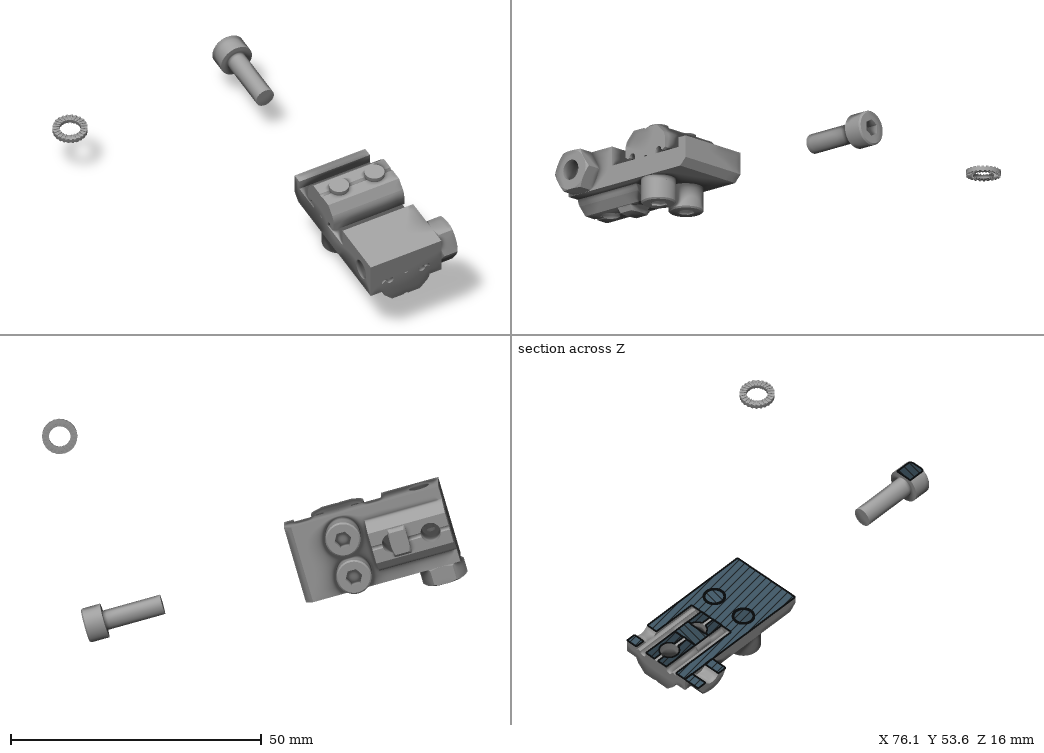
import cadquery as cq
import math


base_length = 32.0
depth = 16.0
plate_height = 4.0
lip_width = 2.0
lip_height = 6.0
corner_chamfer = 1.5
block_start = 20.15
block_height = 8.0

front_hole_x = 28.0
front_hole_diameter = 4.13
front_hole_depth = depth / 2
pilot_diameter = 2.5
pilot_depth = 1.0
drill_point_angle = 118.0

clamp_height = 6.0
clamp_half_width = 5.4
clamp_top_half_width = 3.15
bevel = 1.65
side_arc_bottom = 2.6
leg_outer_bottom = 0.85
leg_tip_x = 4.75
leg_tip_bottom = 0.4
foot_half_width = 2.85
groove_radius = 0.75
groove_base = 0.6
score_half_width = 0.45
score_depth = 0.25
upper_clamp_x = 11.05
lower_clamp_drop = 3.05
lower_clamp_x = base_length - depth / 2
screw_row_y = 0.15
screw_offset = 4.0
screw_ys = [screw_row_y - screw_offset, screw_row_y + screw_offset]

head_diameter = 7.0
head_height = 4.0
head_chamfer = 0.3
shank_diameter = 4.0
shank_length = 12.0
neck_fillet = 0.15
socket_across_flats = 3.0
socket_depth = 2.5
loose_screw_x = -43.5
loose_screw_y = 0.15
loose_screw_z = 0.05
clearance_diameter = 4.3
screw_seat_height = 1.0

nut_across_flats = 8.0
nut_thickness = 3.65
nut_bore = front_hole_diameter
nut_face_diameter = nut_across_flats
nut_chamfer_angle = 30.0
lower_nut_x = 19.85

washer_x = -37.75
washer_y = -38.49
washer_thickness = 1.15
washer_outer_diameter = 7.0
washer_groove_count = 24
washer_groove_width = 0.5
washer_groove_start_angle = 3.75
washer_groove_depth = 0.2


def hexagon_corner_diameter(across_flats):
    return across_flats / math.cos(math.radians(30))


def make_clamp():
    """Bar along Y standing on Z = 0, with a foot between two grooved legs."""
    bevel_bottom_x = clamp_top_half_width + bevel
    bevel_bottom_z = clamp_height - bevel
    arc_width = clamp_half_width - bevel_bottom_x
    arc_rise = bevel_bottom_z - side_arc_bottom
    arc_radius = (arc_width**2 + arc_rise**2) / (2 * arc_width)
    groove_mid_x = foot_half_width + groove_radius
    groove_top = groove_base + groove_radius

    clamp = (
        cq.Workplane("XZ")
        .moveTo(-score_half_width, 0)
        .threePointArc((0, score_depth), (score_half_width, 0))
        .lineTo(foot_half_width, 0)
        .lineTo(foot_half_width, groove_base)
        .threePointArc((groove_mid_x, groove_top), (groove_mid_x + groove_radius, groove_base))
        .lineTo(leg_tip_x, leg_tip_bottom)
        .lineTo(clamp_half_width, leg_outer_bottom)
        .lineTo(clamp_half_width, side_arc_bottom)
        .radiusArc((bevel_bottom_x, bevel_bottom_z), -arc_radius)
        .lineTo(clamp_top_half_width, clamp_height)
        .lineTo(score_half_width, clamp_height)
        .threePointArc((0, clamp_height - score_depth), (-score_half_width, clamp_height))
        .lineTo(-clamp_top_half_width, clamp_height)
        .lineTo(-bevel_bottom_x, bevel_bottom_z)
        .radiusArc((-clamp_half_width, side_arc_bottom), -arc_radius)
        .lineTo(-clamp_half_width, leg_outer_bottom)
        .lineTo(-leg_tip_x, leg_tip_bottom)
        .lineTo(-groove_mid_x - groove_radius, groove_base)
        .threePointArc((-groove_mid_x, groove_top), (-foot_half_width, groove_base))
        .lineTo(-foot_half_width, 0)
        .close()
        .extrude(depth / 2, both=True)
    )
    holes = (
        cq.Workplane("XY")
        .pushPoints([(0, y) for y in screw_ys])
        .circle(shank_diameter / 2)
        .extrude(clamp_height)
    )
    return clamp.cut(holes)


def make_cap_screw():
    """Socket head cap screw along +Z with the outer face of its head at Z = 0."""
    screw = (
        cq.Workplane("XY")
        .circle(head_diameter / 2)
        .extrude(head_height)
        .faces("<Z")
        .chamfer(head_chamfer)
    )
    shank = (
        cq.Workplane("XY")
        .workplane(offset=head_height)
        .circle(shank_diameter / 2)
        .extrude(shank_length)
    )
    screw = screw.union(shank)
    screw = screw.edges(cq.selectors.RadiusNthSelector(0)).edges("<Z").fillet(neck_fillet)
    socket = (
        cq.Workplane("XY")
        .polygon(6, hexagon_corner_diameter(socket_across_flats))
        .extrude(socket_depth)
    )
    return screw.cut(socket)


def make_nut_blank():
    """Hexagon along +Z, chamfered at both ends, with corners on X."""
    corner_diameter = hexagon_corner_diameter(nut_across_flats)
    corner_radius = corner_diameter / 2
    face_radius = nut_face_diameter / 2
    chamfer_height = (corner_radius - face_radius) * math.tan(math.radians(nut_chamfer_angle))
    prism = cq.Workplane("XY").polygon(6, corner_diameter).extrude(nut_thickness)
    chamfer_envelope = (
        cq.Workplane("XZ")
        .moveTo(0, 0)
        .lineTo(face_radius, 0)
        .lineTo(corner_radius, chamfer_height)
        .lineTo(corner_radius, nut_thickness - chamfer_height)
        .lineTo(face_radius, nut_thickness)
        .lineTo(0, nut_thickness)
        .close()
        .revolve(360, (0, 0, 0), (0, 1, 0))
    )
    return prism.intersect(chamfer_envelope)


def make_nut():
    bore = cq.Workplane("XY").circle(nut_bore / 2).extrude(nut_thickness)
    return make_nut_blank().cut(bore)


def turn_to_y(body):
    """Turn a body from +Z to +Y."""
    return body.rotate((0, 0, 0), (1, 0, 0), -90)


def turn_to_x(body):
    """Turn a body from +Z to +X, so that a corner on X comes to lie on Y."""
    return body.rotate((0, 0, 0), (0, 0, 1), 90).rotate((0, 0, 0), (0, 1, 0), 90)


def place_lower_nut(body):
    return turn_to_x(body).translate((lower_nut_x, 0, 0))


def make_base():
    profile = (
        cq.Workplane("XZ")
        .moveTo(corner_chamfer, 0)
        .lineTo(base_length, 0)
        .lineTo(base_length, block_height)
        .lineTo(block_start, block_height)
        .lineTo(block_start, plate_height)
        .lineTo(lip_width, plate_height)
        .lineTo(lip_width, lip_height)
        .lineTo(0, lip_height)
        .lineTo(0, corner_chamfer)
        .close()
    )
    return profile.extrude(depth / 2, both=True)


def make_front_hole():
    """Blind hole from the front of the block, ending in a smaller drilled pilot."""
    pilot_radius = pilot_diameter / 2
    point_height = pilot_radius / math.tan(math.radians(drill_point_angle / 2))
    hole = (
        cq.Workplane("XZ")
        .moveTo(0, 0)
        .lineTo(front_hole_diameter / 2, 0)
        .lineTo(front_hole_diameter / 2, front_hole_depth)
        .lineTo(pilot_radius, front_hole_depth)
        .lineTo(pilot_radius, front_hole_depth + pilot_depth)
        .lineTo(0, front_hole_depth + pilot_depth + point_height)
        .close()
        .revolve(360, (0, 0, 0), (0, 1, 0))
    )
    return turn_to_y(hole).translate((front_hole_x, -depth / 2, plate_height))


def make_washer():
    washer = (
        cq.Workplane("XY")
        .circle(washer_outer_diameter / 2)
        .circle(clearance_diameter / 2)
        .extrude(washer_thickness)
    )
    outer_radius = washer_outer_diameter / 2
    grooves = (
        cq.Workplane("XY")
        .polarArray(outer_radius, washer_groove_start_angle, 360, washer_groove_count)
        .rect(outer_radius, washer_groove_width)
        .extrude(washer_groove_depth)
    )
    washer = washer.cut(grooves)
    return washer.cut(grooves.translate((0, 0, washer_thickness - washer_groove_depth)))


screw_points = [(upper_clamp_x, y) for y in screw_ys]

recess = cq.Workplane("XY").box(
    depth, 2 * clamp_half_width, lower_clamp_drop, centered=(True, True, False)
)
screw_seats = (
    cq.Workplane("XY").pushPoints(screw_points).circle(head_diameter / 2).extrude(-screw_seat_height)
)
screw_holes = (
    cq.Workplane("XY")
    .workplane(offset=-screw_seat_height)
    .pushPoints(screw_points)
    .circle(clearance_diameter / 2)
    .extrude(screw_seat_height + plate_height)
)
lower_nut_blank = place_lower_nut(make_nut_blank())
base = make_base().union(screw_seats).cut(screw_holes).cut(make_front_hole())
base = base.cut(recess.translate((lower_clamp_x, 0, 0))).cut(lower_nut_blank)

upper_clamp = make_clamp().translate((upper_clamp_x, 0, plate_height))
lower_clamp = (
    make_clamp()
    .rotate((0, 0, 0), (1, 0, 0), 180)
    .rotate((0, 0, 0), (0, 0, 1), 90)
    .translate((lower_clamp_x, 0, lower_clamp_drop))
    .cut(lower_nut_blank)
)

screw_bottom = -screw_seat_height - head_height
clamp_screws = [make_cap_screw().translate((x, y, screw_bottom)) for x, y in screw_points]
loose_screw = turn_to_x(make_cap_screw().rotate((0, 0, 0), (0, 0, 1), 90))
loose_screw = loose_screw.translate((loose_screw_x, loose_screw_y, loose_screw_z))

back_nut = turn_to_y(make_nut()).translate((front_hole_x, depth / 2, plate_height))
lower_nut = place_lower_nut(make_nut())

washer = make_washer().translate((washer_x, washer_y, 0))

result = cq.Compound.makeCompound(
    [
        base.val(),
        upper_clamp.val(),
        lower_clamp.val(),
        *[screw.val() for screw in clamp_screws],
        loose_screw.val(),
        back_nut.val(),
        lower_nut.val(),
        washer.val(),
    ]
)